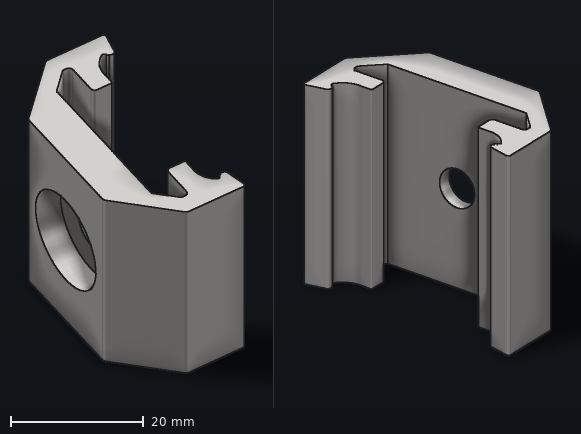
import cadquery as cq

width = 39.0
depth = 19.7
height = 34.0
half_width = width / 2

floor_thickness = 6.9
outer_chamfer = 9.13
outer_radius = 1.0
slant_inner_sum = 13.3

prong_reach = 9.48
prong_bottom = 11.5
prong_top = 14.98
prong_bottom_radius = 0.7
prong_top_radius = 0.25
slot_wall = 3.15
slot_top_radius = 0.7
slot_bottom_radius = 0.6

seat_end = (7.6, prong_top)
seat_middle = (5.15, 15.45)
seat_start = (3.65, 16.77)
notch_middle = (3.6, 17.2)
notch_end = (3.85, 17.5)
lip_neck_middle = (4.1, 17.6)
lip_neck = (4.17, 17.83)
lip_tip = (4.33, 18.45)
lip_top = (3.85, 18.95)
lip_edge_depth = depth + 0.1
lip_corner_radius = 0.5

hole_diameter = 6.6
counterbore_diameter = 16.6
counterbore_depth = 4.5


def round_edge(body, x, y, radius):
    """Round the upright edge that passes through (x, y)."""
    return body.edges(cq.selectors.NearestToPointSelector((x, y, 0))).fillet(radius)


def half_profile():
    """Extrude the left half of the section; x runs from the outer side inward."""
    slot_corner_depth = slant_inner_sum - slot_wall
    body = (
        cq.Workplane("XY")
        .workplane(offset=-height / 2)
        .moveTo(half_width, 0)
        .lineTo(outer_chamfer, 0)
        .lineTo(0, outer_chamfer)
        .lineTo(0, lip_edge_depth)
        .lineTo(*lip_top)
        .threePointArc(lip_tip, lip_neck)
        .threePointArc(lip_neck_middle, notch_end)
        .threePointArc(notch_middle, seat_start)
        .threePointArc(seat_middle, seat_end)
        .lineTo(prong_reach, prong_top)
        .lineTo(prong_reach, prong_bottom)
        .lineTo(slot_wall, prong_bottom)
        .lineTo(slot_wall, slot_corner_depth)
        .lineTo(slant_inner_sum - floor_thickness, floor_thickness)
        .lineTo(half_width, floor_thickness)
        .close()
        .extrude(height)
    )
    rounded_corners = [
        (outer_chamfer, 0, outer_radius),
        (0, outer_chamfer, outer_radius),
        (0, lip_edge_depth, lip_corner_radius),
        (prong_reach, prong_top, prong_top_radius),
        (prong_reach, prong_bottom, prong_bottom_radius),
        (slot_wall, prong_bottom, slot_top_radius),
        (slot_wall, slot_corner_depth, slot_bottom_radius),
    ]
    for x, y, radius in rounded_corners:
        body = round_edge(body, x, y, radius)
    return body.translate((-half_width, 0, 0))


def bore(diameter, bore_depth):
    """Cylinder that enters the base from its outer face."""
    return cq.Workplane("XZ").circle(diameter / 2).extrude(-bore_depth)


left_half = half_profile()
right_half = left_half.mirror("YZ")
clip = left_half.union(right_half).clean()
result = clip.cut(bore(counterbore_diameter, counterbore_depth)).cut(bore(hole_diameter, depth))